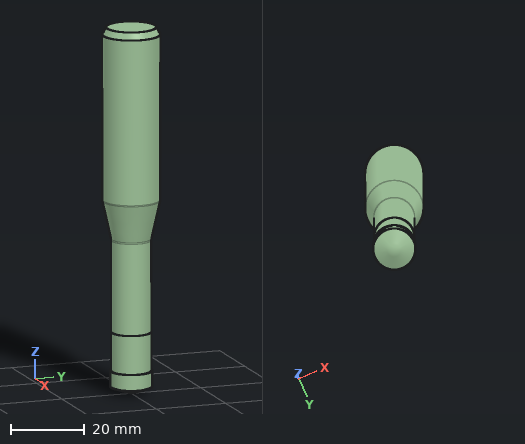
import cadquery as cq

overall_length = 102.04
shank_radius = 15.88 / 2
shank_chamfer_width = 1.1
shank_chamfer_height = 2.0
shank_length = 48.15
taper_length = 10.95
taper_top_round = 1.5
taper_bottom_round = 2.0
neck_radius = 5.5
head_radius = 5.75
head_length = 4.4
point_height = 2.0
tip_stem_length = 10.8

top_z = overall_length / 2
point_z = -overall_length / 2
taper_top_z = top_z - shank_length
taper_bottom_z = taper_top_z - taper_length
head_bottom_z = point_z + point_height
head_top_z = head_bottom_z + head_length
joint_z = head_top_z + tip_stem_length


def turn(profile):
    """Revolve a half profile, drawn as (radius, z), about the Z axis."""
    return profile.close().revolve(360, (0, 0), (0, 1))


def round_circle(body, radius, z, round_radius):
    """Fillet the circular edge of the given radius at level z."""
    reach = 0.1
    box = cq.selectors.BoxSelector(
        (-radius - reach, -radius - reach, z - reach),
        (radius + reach, radius + reach, z + reach),
        boundingbox=True,
    )
    return body.edges(box).fillet(round_radius)


def make_shank():
    """Chamfered shank that tapers down to the upper neck, with both taper corners rounded."""
    profile = (
        cq.Workplane("XZ")
        .moveTo(0, top_z)
        .lineTo(shank_radius - shank_chamfer_width, top_z)
        .lineTo(shank_radius, top_z - shank_chamfer_height)
        .lineTo(shank_radius, taper_top_z)
        .lineTo(neck_radius, taper_bottom_z)
        .lineTo(neck_radius, joint_z)
        .lineTo(0, joint_z)
    )
    body = turn(profile)
    body = round_circle(body, shank_radius, taper_top_z, taper_top_round)
    return round_circle(body, neck_radius, taper_bottom_z, taper_bottom_round)


def make_tip():
    """Stem that continues the neck, a slightly wider head and a shallow conical point."""
    profile = (
        cq.Workplane("XZ")
        .moveTo(0, joint_z)
        .lineTo(neck_radius, joint_z)
        .lineTo(neck_radius, head_top_z)
        .lineTo(head_radius, head_top_z)
        .lineTo(head_radius, head_bottom_z)
        .lineTo(0, point_z)
    )
    return turn(profile)


shank = make_shank()
tip = make_tip()

result = cq.Compound.makeCompound([shank.val(), tip.val()])